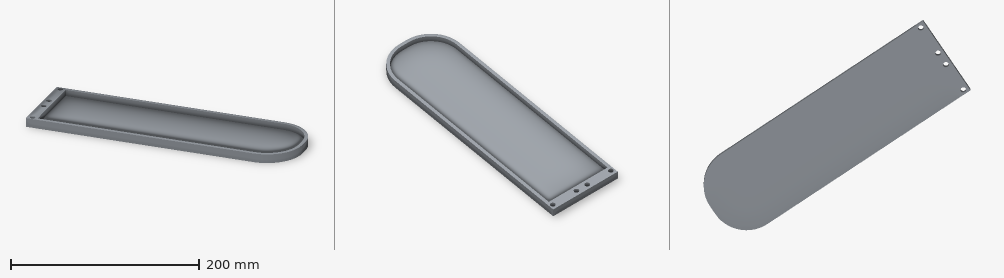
import cadquery as cq

LENGTH = 300.0
WIDTH = 90.0
HEIGHT = 10.0
END_RADIUS = 40.0

RIM = 4.0
STRIP_WIDTH = 12.0
FLOOR_THICKNESS = 3.0

HOLE_DIAMETER = 6.0
HOLE_X = STRIP_WIDTH / 2
INNER_HOLE_Y = 7.5
OUTER_HOLE_Y = 40.5


def round_ended_plate(x_start, x_end, width, radius, thickness):
    """Plate on Z = 0, centred on Y, with its two +X corners rounded."""
    plate = cq.Workplane("XY").box(x_end - x_start, width, thickness, centered=(False, True, False))
    return plate.edges("|Z and >X").fillet(radius).translate((x_start, 0, 0))


def make_pocket():
    """Volume removed above the floor, its rounded end concentric with the outside."""
    pocket = round_ended_plate(
        STRIP_WIDTH,
        LENGTH - RIM,
        WIDTH - 2 * RIM,
        END_RADIUS - RIM,
        HEIGHT - FLOOR_THICKNESS,
    )
    return pocket.translate((0, 0, FLOOR_THICKNESS))


def make_holes():
    """Cylinders for the four mounting holes."""
    offsets = (INNER_HOLE_Y, OUTER_HOLE_Y)
    centres = [(HOLE_X, side * y) for y in offsets for side in (-1, 1)]
    return cq.Workplane("XY").pushPoints(centres).circle(HOLE_DIAMETER / 2).extrude(HEIGHT)


body = round_ended_plate(0, LENGTH, WIDTH, END_RADIUS, HEIGHT)
result = body.cut(make_pocket()).cut(make_holes())